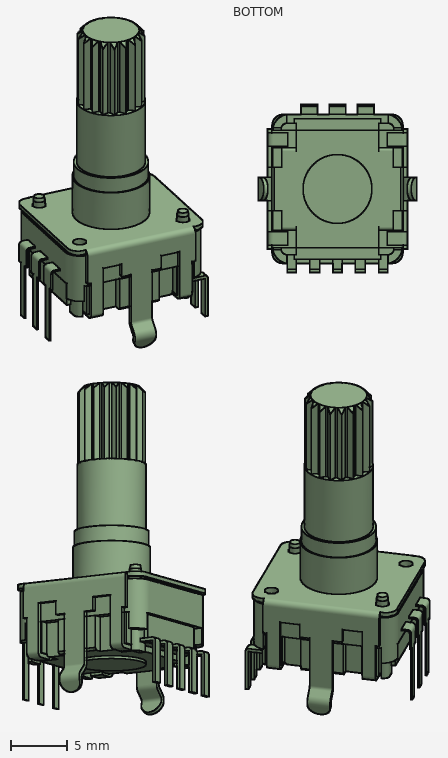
import cadquery as cq
import math


CLEARANCE = 1.0

SHAFT_TOP = 18.0
SHAFT_DIA = 6.1
KNURL_BASE = 11.05
KNURL_DIA = 6.0
KNURL_CORE_DIA = 5.0
KNURL_TEETH = 18
TOOTH_BASE_WIDTH = 0.68
BUSHING_DIA = 6.85
BUSHING_TOP = 3.6
BUSHING_NECK_DIA = 6.62
BUSHING_NECK_TOP = 5.0

SHEET = 0.4
PLATE_HALF_X = 5.8
PLATE_HALF_Y = 6.6
PLATE_CORNER_RADIUS = 1.0
WALL_OUTER_X = PLATE_HALF_X + SHEET
BEND_INNER_RADIUS = 0.1
BEND_RADIUS = BEND_INNER_RADIUS + SHEET / 2
WALL_HALF_Y = 5.32
WALL_OVERLAP = 1.0
WALL_STEP_Z = -3.2
LEG_OUTER_Y = 4.97
LEG_INNER_Y = 3.77
LEG_BOTTOM = -6.8
FOOT_REACH = 1.6
WINDOW_STEP_Y = 1.94
WINDOW_TOP = -1.97

CLIP_HALF_Y = 1.04
CLIP_STRAIGHT_END_Z = -8.11
CLIP_KNEE_X = 6.94
CLIP_KNEE_Z = -9.07
CLIP_TIP_ANGLE = 25
CLIP_BOTTOM = -10.44
CLIP_BEND_RADIUS = 0.58

PIN_X = 4.1
PIN_Y = 5.08
PIN_HOLE_DIA = 1.2
PIN_DIA = 1.07
PIN_SHOULDER_Z = 0.5
PIN_NECK_DIA = 1.03
PIN_TIP_DIA = 0.9
PIN_TOP = 0.86

SPACER_INSET = 0.2
HOUSING_HALF_X = 5.75
HOUSING_TOP = -0.6
HOUSING_CORNER_RADIUS = 1.47
HOUSING_BOTTOM = -3.6
HOUSING_LEG_BOTTOM = -5.07
HOUSING_LEG_X = 4.48
HOUSING_LEG_Y = 5.4

BASE_BOTTOM = -6.7
BASE_CORE_X = 4.95
BASE_CORE_Y = 5.2
BASE_EDGE_RADIUS = 0.3
RIB_CHAMFER = 0.22
BASE_NOTCH_Y = 3.65
BASE_BLOCK_X = 3.81
BASE_BLOCK_Y = 6.2
BASE_BLOCK_BOTTOM = -6.15
POST_OUTER_X = 5.0
POST_OUTER_Y = 5.83
POST_INNER_X = 3.63
POST_RADIUS = 0.57
POST_BOTTOM = -6.95
BOSS_DIA = 6.1

FRONT_PITCH = 2.5
FRONT_THICKNESS = 0.15
FRONT_OUTER_Y = -7.49
FRONT_TOP = -2.735
FRONT_BOTTOM = -9.8
FRONT_HEAD_WIDTH = 1.5
FRONT_HEAD_BOTTOM = -4.64
FRONT_PIN_WIDTH = 0.78
FRONT_BEND_RADIUS = 0.27

REAR_PITCH = 2.02
REAR_THICKNESS = 0.3
REAR_OUTER_Y = 7.4
REAR_TOP = -5.83
REAR_BOTTOM = -9.87
REAR_WIDTH = 0.82
REAR_WIDE_WIDTH = 0.9
REAR_BEND_RADIUS = 0.2

TERMINAL_ROOT_Y = 5.0


def block(x_min, x_max, y_min, y_max, z_min, z_max):
    """Box between the given limits."""
    size = (x_max - x_min, y_max - y_min, z_max - z_min)
    return cq.Workplane("XY").box(*size, centered=False).translate((x_min, y_min, z_min))


def centered_block(half_x, half_y, z_min, z_max):
    """Box centred on the shaft axis."""
    return block(-half_x, half_x, -half_y, half_y, z_min, z_max)


def cylinder(diameter, z_min, z_max):
    """Cylinder on the shaft axis."""
    return cq.Workplane("XY").workplane(offset=z_min).circle(diameter / 2).extrude(z_max - z_min)


def both_sides(solid, plane):
    """The solid together with its mirror image."""
    return solid.union(solid.mirror(plane))


def four_corners(solid):
    """The solid repeated in the four quadrants around the shaft axis."""
    return both_sides(both_sides(solid, "YZ"), "XZ")


def bent_strip(plane, path, thickness, bend_radius, width):
    """Strip of sheet metal whose mid-line follows `path`, with its width centred on `plane`."""
    points = [cq.Vector(*point) for point in path]
    normal = cq.Vector(0, 0, 1)
    half = thickness / 2
    directions = [(end - start).normalized() for start, end in zip(points, points[1:])]
    sides = [normal.cross(direction) for direction in directions]

    def edge_of_strip(offset):
        """Corner points of one edge: plain points, or (start, middle, end) of each bend arc."""
        edge = [points[0] + sides[0] * offset]
        for i in range(1, len(points) - 1):
            turn = directions[i - 1].cross(directions[i]).z
            sign = math.copysign(1, turn)
            half_angle = abs(math.asin(turn)) / 2
            bisector = (sides[i - 1] + sides[i]).normalized()
            center = points[i] + bisector * (sign * bend_radius / math.cos(half_angle))
            reach = offset - sign * bend_radius
            edge.append([center + v * reach for v in (sides[i - 1], bisector, sides[i])])
        edge.append(points[-1] + sides[-1] * offset)
        return edge

    def flat(vector):
        return (vector.x, vector.y)

    left = edge_of_strip(half)
    right = [corner[::-1] if isinstance(corner, list) else corner for corner in edge_of_strip(-half)[::-1]]
    outline = cq.Workplane(plane).moveTo(*flat(left[0]))
    for corner in left[1:] + right:
        if isinstance(corner, list):
            start, middle, end = corner
            outline = outline.lineTo(*flat(start)).threePointArc(flat(middle), flat(end))
        else:
            outline = outline.lineTo(*flat(corner))
    return outline.close().extrude(width / 2, both=True)


def knurl_tooth():
    """Sharp tooth on the +X axis, chamfered down to the core at its upper end."""
    core_radius = KNURL_CORE_DIA / 2
    tip_radius = KNURL_DIA / 2
    root_x = math.sqrt(core_radius**2 - (TOOTH_BASE_WIDTH / 2) ** 2)
    section = [
        (0, 0),
        (root_x, -TOOTH_BASE_WIDTH / 2),
        (tip_radius, 0),
        (root_x, TOOTH_BASE_WIDTH / 2),
    ]
    tooth = cq.Workplane("XY").workplane(offset=KNURL_BASE).polyline(section).close()
    tooth = tooth.extrude(SHAFT_TOP - KNURL_BASE)
    envelope = cylinder(KNURL_DIA, KNURL_BASE, SHAFT_TOP)
    return tooth.intersect(envelope.faces(">Z").chamfer(tip_radius - core_radius))


def make_shaft():
    """Bushing and plain shaft with the knurled upper end."""
    shaft = cylinder(BUSHING_DIA, -SHEET, BUSHING_TOP)
    shaft = shaft.union(cylinder(BUSHING_NECK_DIA, BUSHING_TOP, BUSHING_NECK_TOP))
    shaft = shaft.union(cylinder(SHAFT_DIA, BUSHING_NECK_TOP, KNURL_BASE))
    knurl = cylinder(KNURL_CORE_DIA, KNURL_BASE, SHAFT_TOP)
    tooth = knurl_tooth()
    for i in range(KNURL_TEETH):
        knurl = knurl.union(tooth.rotate((0, 0, 0), (0, 0, 1), i * 360 / KNURL_TEETH))
    return shaft.union(knurl)


def make_cover_wall():
    """Side wall at -X with its rolled top edge, bent feet and the window cut-outs."""
    mid_x = -(WALL_OUTER_X - SHEET / 2)
    foot_z = LEG_BOTTOM + SHEET / 2
    path = [
        (-PLATE_HALF_X + WALL_OVERLAP, -SHEET / 2),
        (mid_x, -SHEET / 2),
        (mid_x, foot_z),
        (mid_x + FOOT_REACH, foot_z),
    ]
    wall = bent_strip("XZ", path, SHEET, BEND_RADIUS, 2 * WALL_HALF_Y)
    x_min = -WALL_OUTER_X - CLEARANCE
    x_max = mid_x + FOOT_REACH + CLEARANCE
    below = LEG_BOTTOM - CLEARANCE
    side_relief = block(x_min, x_max, LEG_OUTER_Y, WALL_HALF_Y + CLEARANCE, below, WALL_STEP_Z)
    high_window = block(x_min, x_max, WINDOW_STEP_Y, LEG_INNER_Y, below, WINDOW_TOP)
    low_window = block(x_min, x_max, 0, WINDOW_STEP_Y, below, WALL_STEP_Z)
    cutter = side_relief.union(high_window).union(low_window)
    return wall.cut(both_sides(cutter, "XZ"))


def make_clip():
    """Snap-in clip that continues the wall at -X downwards and ends in a round tip."""
    mid_x = -(WALL_OUTER_X - SHEET / 2)
    angle = math.radians(CLIP_TIP_ANGLE)
    tip_z = CLIP_BOTTOM + SHEET / 2 * math.sin(angle)
    tip_x = -CLIP_KNEE_X + (CLIP_KNEE_Z - tip_z) * math.tan(angle)
    path = [(mid_x, WALL_STEP_Z), (mid_x, CLIP_STRAIGHT_END_Z), (-CLIP_KNEE_X, CLIP_KNEE_Z), (tip_x, tip_z)]
    clip = bent_strip("XZ", path, SHEET, CLIP_BEND_RADIUS, 2 * CLIP_HALF_Y)
    tip_plane = cq.Plane(
        origin=(tip_x, 0, tip_z), xDir=(0, 1, 0), normal=(math.cos(angle), 0, math.sin(angle))
    )
    corners = cq.Workplane(tip_plane).moveTo(-CLIP_HALF_Y, 0).lineTo(-CLIP_HALF_Y, CLIP_HALF_Y)
    corners = corners.threePointArc((0, 0), (CLIP_HALF_Y, CLIP_HALF_Y)).lineTo(CLIP_HALF_Y, 0).close()
    return clip.cut(corners.extrude(SHEET, both=True))


def make_cover():
    """Plate with four pin holes, two side walls and two clips."""
    plate = centered_block(PLATE_HALF_X, PLATE_HALF_Y, -SHEET, 0)
    plate = plate.edges("|Z").fillet(PLATE_CORNER_RADIUS)
    bend_start_x = WALL_OUTER_X - SHEET - BEND_INNER_RADIUS
    bend_strip = block(bend_start_x, WALL_OUTER_X, -WALL_HALF_Y, WALL_HALF_Y, -SHEET, 0)
    plate = plate.cut(both_sides(bend_strip, "YZ"))
    hole = cylinder(PIN_HOLE_DIA, -SHEET, 0).translate((PIN_X, PIN_Y, 0))
    side = make_cover_wall().union(make_clip())
    return plate.union(both_sides(side, "YZ")).cut(four_corners(hole))


def make_pin():
    """Rivet pin with a shoulder and a tapered tip."""
    outline = [
        (0, HOUSING_TOP),
        (PIN_DIA / 2, HOUSING_TOP),
        (PIN_DIA / 2, PIN_SHOULDER_Z),
        (PIN_NECK_DIA / 2, PIN_SHOULDER_Z),
        (PIN_TIP_DIA / 2, PIN_TOP),
        (0, PIN_TOP),
    ]
    return cq.Workplane("XZ").polyline(outline).close().revolve(360, (0, 0, 0), (0, 1, 0))


def make_housing():
    """Housing on four corner legs, with a thin spacer and two rivet pins on top."""
    housing = centered_block(HOUSING_HALF_X, PLATE_HALF_Y, HOUSING_LEG_BOTTOM, HOUSING_TOP)
    housing = housing.edges("|Z").fillet(HOUSING_CORNER_RADIUS)
    below = HOUSING_LEG_BOTTOM - CLEARANCE
    housing = housing.cut(centered_block(HOUSING_LEG_X, PLATE_HALF_Y + CLEARANCE, below, HOUSING_BOTTOM))
    housing = housing.cut(centered_block(PLATE_HALF_X + CLEARANCE, HOUSING_LEG_Y, below, HOUSING_BOTTOM))
    spacer_x = PLATE_HALF_X - SPACER_INSET
    spacer_y = PLATE_HALF_Y - SPACER_INSET
    spacer = centered_block(spacer_x, spacer_y, HOUSING_TOP, -SHEET)
    spacer = spacer.edges("|Z").fillet(HOUSING_CORNER_RADIUS - SPACER_INSET)
    hole = cylinder(PIN_HOLE_DIA, HOUSING_TOP, -SHEET).translate((PIN_X, PIN_Y, 0))
    spacer = spacer.cut(four_corners(hole))
    pin = make_pin()
    for sign in (-1, 1):
        spacer = spacer.union(pin.translate((sign * PIN_X, sign * PIN_Y, 0)))
    return housing.union(spacer)


def make_base():
    """Base with side ribs, corner posts and a round boss underneath."""
    foot_top = LEG_BOTTOM + SHEET
    base = centered_block(BASE_CORE_X, BASE_CORE_Y, foot_top, HOUSING_BOTTOM)
    base = base.union(centered_block(POST_INNER_X, BASE_CORE_Y, BASE_BOTTOM, HOUSING_BOTTOM))
    middle = centered_block(BASE_CORE_X, BASE_NOTCH_Y, BASE_BOTTOM, HOUSING_BOTTOM)
    base = base.union(middle.edges("|X and <Z").fillet(BASE_EDGE_RADIUS))
    rib = centered_block(PLATE_HALF_X, WINDOW_STEP_Y, BASE_BOTTOM, HOUSING_BOTTOM)
    base = base.union(rib.edges("|Y and <Z").chamfer(RIB_CHAMFER))
    corner_rib = block(0, PLATE_HALF_X, BASE_NOTCH_Y, BASE_CORE_Y, foot_top, HOUSING_BOTTOM)
    base = base.union(four_corners(corner_rib))
    base = base.union(centered_block(BASE_BLOCK_X, BASE_BLOCK_Y, BASE_BLOCK_BOTTOM, HOUSING_BOTTOM))
    post = block(POST_INNER_X, POST_OUTER_X, BASE_CORE_Y, POST_OUTER_Y, POST_BOTTOM, HOUSING_BOTTOM)
    post = post.edges("|Z and >X and >Y").fillet(POST_RADIUS)
    base = base.union(four_corners(post))
    return base.union(cylinder(BOSS_DIA, POST_BOTTOM, BASE_BOTTOM))


def make_front_terminal():
    """Switch terminal with a wide head and a narrow pin."""
    mid_y = FRONT_OUTER_Y + FRONT_THICKNESS / 2
    mid_z = FRONT_TOP - FRONT_THICKNESS / 2
    path = [(-TERMINAL_ROOT_Y, mid_z), (mid_y, mid_z), (mid_y, FRONT_BOTTOM)]
    terminal = bent_strip("YZ", path, FRONT_THICKNESS, FRONT_BEND_RADIUS, FRONT_HEAD_WIDTH)
    beside_pin = block(
        FRONT_PIN_WIDTH / 2,
        FRONT_HEAD_WIDTH / 2 + CLEARANCE,
        FRONT_OUTER_Y - CLEARANCE,
        0,
        FRONT_BOTTOM - CLEARANCE,
        FRONT_HEAD_BOTTOM,
    )
    return terminal.cut(both_sides(beside_pin, "YZ"))


def make_rear_terminal(width):
    """Encoder terminal bent down outside the base."""
    mid_y = REAR_OUTER_Y - REAR_THICKNESS / 2
    mid_z = REAR_TOP - REAR_THICKNESS / 2
    path = [(TERMINAL_ROOT_Y, mid_z), (mid_y, mid_z), (mid_y, REAR_BOTTOM)]
    return bent_strip("YZ", path, REAR_THICKNESS, REAR_BEND_RADIUS, width)


def add_terminals(part):
    front_terminal = make_front_terminal()
    for i in (-1, 0, 1):
        part = part.union(front_terminal.translate((i * FRONT_PITCH, 0, 0)))
    for i in (-2, -1, 0, 1, 2):
        width = REAR_WIDE_WIDTH if abs(i) == 1 else REAR_WIDTH
        part = part.union(make_rear_terminal(width).translate((i * REAR_PITCH, 0, 0)))
    return part


encoder = make_cover().union(make_housing()).union(make_base()).union(make_shaft())
result = add_terminals(encoder)